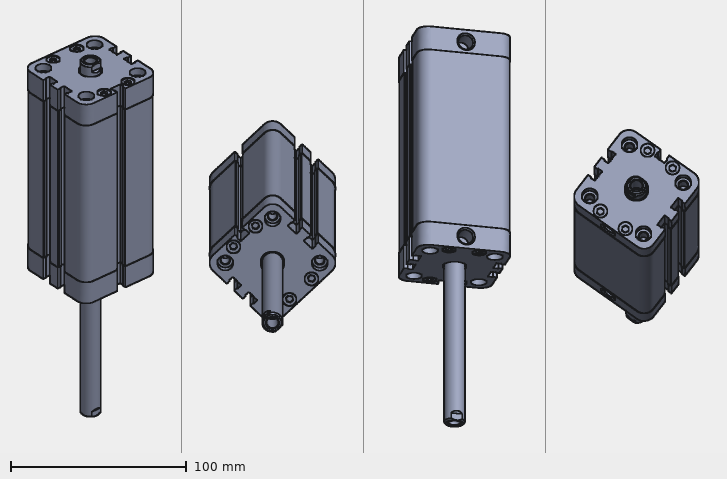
import cadquery as cq

tube_width = 54.3
cap_root_width = 54.7
cap_end_taper = 0.1
flat_face_width = 41.0
body_height = 135.0
cap_height = 14.3
rod_top_reach = 7.0
rod_length = 239.0

rod_diameter = 12.0
rod_chamfer = 1.0
flat_width = 10.0
flat_height = 4.0
flat_runout = 1.5
thread_diameter = 6.7
thread_mouth_diameter = 7.6
thread_depth = 14.3
thread_core_diameter = 5.0
thread_core_depth = 19.1
rod_gap_diameter = 13.6
rod_gap_depth = 1.2

slot_offset = 6.5
slot_inner_width = 7.0
slot_depth = 5.0
cap_slot_opening = 6.0
tube_slot_opening = 5.0
tube_slot_chamfer = 0.5
slot_lip = 2.2

mount_spacing = 38.0
mount_hole_diameter = 5.0
mount_bore_diameter = 9.0
mount_bore_depth = 4.8
mount_mouth_diameter = 5.7

screw_spacing_x = 45.2
screw_spacing_y = 17.7
screw_diameter = 8.0
screw_recess = 0.7
screw_socket_diameter = 4.3
screw_socket_depth = 2.0
socket_sides = 6

port_diameter = 8.5
port_mouth_diameter = 10.5
port_depth = 12.0
port_inset = 7.5

mid_height = body_height / 2
tube_height = body_height - 2 * cap_height


def disc(diameter, bottom, height):
    """Upright cylinder on the Z axis."""
    return cq.Workplane("XY").workplane(offset=bottom).circle(diameter / 2).extrude(height)


def rounded_square(width):
    """Square whose rounded corners leave the same flat length on every side, whatever the width."""
    return cq.Sketch().rect(width, width).vertices().fillet((width - flat_face_width) / 2)


def countersink(small_diameter, large_diameter, top):
    """Cone that opens upward to large_diameter at height top, at 45 degrees."""
    depth = (large_diameter - small_diameter) / 2
    return cq.Workplane("XY").add(
        cq.Solid.makeCone(small_diameter / 2, large_diameter / 2, depth, cq.Vector(0, 0, top - depth))
    )


def slot(opening_width):
    """Undercut slot open toward +X, running the full height."""
    floor = tube_width / 2 - slot_depth
    inner_length = slot_depth - slot_lip
    outer_length = slot_depth + cap_root_width - tube_width
    inner = cq.Workplane("XY").box(inner_length, slot_inner_width, body_height, (False, True, False))
    opening = cq.Workplane("XY").box(outer_length, opening_width, body_height, (False, True, False))
    return inner.union(opening).translate((floor, 0, 0))


def slot_with_chamfered_lips():
    """Tube slot whose lip edges are chamfered at the tube face."""
    face = tube_width / 2
    narrow = tube_slot_opening / 2
    wide = narrow + tube_slot_chamfer
    chamfer_floor = face - tube_slot_chamfer
    chamfer = (
        cq.Workplane("XY")
        .polyline([(chamfer_floor, -narrow), (face, -wide), (face, wide), (chamfer_floor, narrow)])
        .close().extrude(body_height)
    )
    return slot(tube_slot_opening).union(chamfer)


def cut_slots(body, cutter):
    """One slot in the +X face and a pair in each of the +Y and -Y faces."""
    body = body.cut(cutter)
    for angle in (90, -90):
        for offset in (-slot_offset, slot_offset):
            body = body.cut(cutter.translate((0, offset, 0)).rotate((0, 0, 0), (0, 0, 1), angle))
    return body


def make_tube():
    """Slotted body between the caps, bored for the rod."""
    tube = (
        cq.Workplane("XY").workplane(offset=cap_height)
        .placeSketch(rounded_square(tube_width)).extrude(tube_height)
    )
    return cut_slots(tube, slot_with_chamfered_lips()).cut(disc(rod_diameter, 0, body_height))


def cut_mounts(cap):
    """Four counterbored mounting holes through the cap."""
    half = mount_spacing / 2
    tool = disc(mount_hole_diameter, body_height - cap_height, cap_height)
    tool = tool.union(disc(mount_bore_diameter, body_height - mount_bore_depth, mount_bore_depth))
    tool = tool.union(countersink(mount_hole_diameter, mount_mouth_diameter, body_height - mount_bore_depth))
    for x in (-half, half):
        for y in (-half, half):
            cap = cap.cut(tool.translate((x, y, 0)))
    return cap


def cut_screw_heads(cap):
    """Four sunken screw heads with hexagonal sockets, formed in the cap face."""
    recess = disc(screw_diameter, body_height - screw_recess, screw_recess)
    socket = (
        cq.Workplane("XY").workplane(offset=body_height - screw_socket_depth)
        .polygon(socket_sides, screw_socket_diameter).extrude(screw_socket_depth)
        .rotate((0, 0, 0), (0, 0, 1), 180 / socket_sides)
    )
    tool = recess.union(socket)
    for x in (-screw_spacing_x / 2, screw_spacing_x / 2):
        for y in (-screw_spacing_y / 2, screw_spacing_y / 2):
            cap = cap.cut(tool.translate((x, y, 0)))
    return cap


def cut_port(cap):
    """Countersunk blind port in the -X face."""
    port = disc(port_diameter, -port_depth, port_depth)
    port = port.union(countersink(port_diameter, port_mouth_diameter, 0))
    port = port.rotate((0, 0, 0), (0, 1, 0), -90)
    return cap.cut(port.translate((-cap_root_width / 2, 0, body_height - port_inset)))


def make_cap():
    """Upper end cap; its outer faces lean inward toward the end."""
    lower = rounded_square(cap_root_width)
    upper = rounded_square(cap_root_width - cap_end_taper)
    cap = (
        cq.Workplane("XY").workplane(offset=body_height - cap_height)
        .placeSketch(lower, upper.moved(cq.Location(cq.Vector(0, 0, cap_height)))).loft()
    )
    cap = cut_slots(cap, slot(cap_slot_opening))
    cap = cap.cut(disc(rod_diameter, 0, body_height))
    cap = cap.cut(disc(rod_gap_diameter, body_height - rod_gap_depth, rod_gap_depth))
    return cut_port(cut_screw_heads(cut_mounts(cap)))


def rod_end(top):
    """Material removed at the upper rod end: two wrench flats and a countersunk hole."""
    flat = (
        cq.Workplane("XZ")
        .moveTo(flat_width / 2, top)
        .lineTo(flat_width / 2, top - flat_height)
        .lineTo(rod_diameter / 2, top - flat_height - flat_runout)
        .lineTo(rod_diameter / 2, top)
        .close().extrude(rod_diameter / 2, both=True)
    )
    hole = disc(thread_diameter, top - thread_depth, thread_depth)
    hole = hole.union(disc(thread_core_diameter, top - thread_core_depth, thread_core_depth))
    hole = hole.union(countersink(thread_diameter, thread_mouth_diameter, top))
    return flat.union(flat.mirror("YZ")).union(hole)


def make_rod():
    """Through rod with the same flats and threaded hole at both ends."""
    top = body_height + rod_top_reach
    rod = disc(rod_diameter, top - rod_length, rod_length).faces("<Z or >Z").chamfer(rod_chamfer)
    upper_end = rod_end(top)
    middle = top - rod_length / 2
    return rod.cut(upper_end).cut(upper_end.mirror("XY", (0, 0, middle)))


tube = make_tube()
upper_cap = make_cap()
lower_cap = upper_cap.mirror("XY", (0, 0, mid_height))
rod = make_rod()

result = cq.Compound.makeCompound([tube.val(), upper_cap.val(), lower_cap.val(), rod.val()])